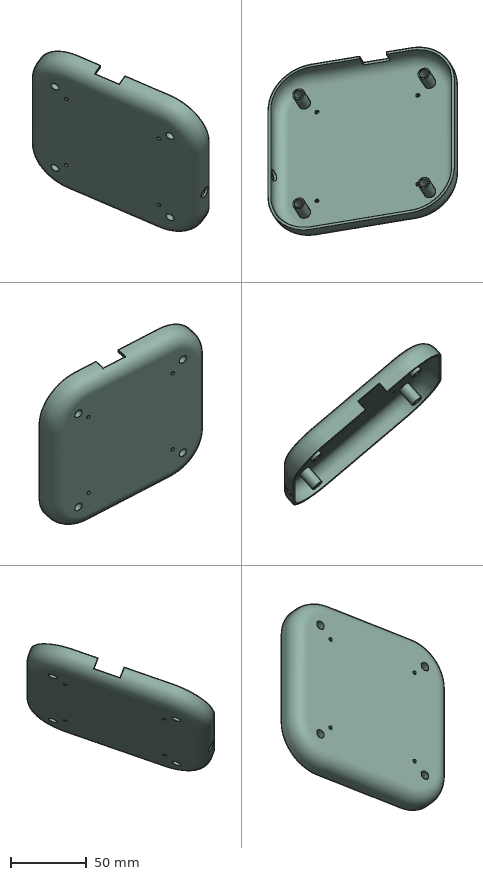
import cadquery as cq

WIDTH = 129.5
DEPTH = 15.0
HEIGHT = 126.4
CORNER_RADIUS = 30.0
EDGE_RADIUS = 10.0
WALL = 2.0

MOUNT_HOLE_DIAMETER = 6.0
MOUNT_BOSS_DIAMETER = 8.0
MOUNT_SPACING_X = 87.0
MOUNT_SPACING_Z = 83.7
PILOT_HOLE_DIAMETER = 2.5
PILOT_SPACING_X = 70.1
PILOT_SPACING_Z = 68.1

NOTCH_WIDTH = 18.5
NOTCH_DEPTH = 7.8
NOTCH_CENTER_X = -8.2

PORT_DIAMETER = 7.6
PORT_Y = 9.7
PORT_Z = -13.9

CUT_REACH = CORNER_RADIUS


def rounded_block(inset):
    """Block with rounded corners and -Y rim, inset from the outer skin and ending at the open side."""
    return (
        cq.Workplane("XZ", origin=(0, DEPTH, 0))
        .rect(WIDTH - 2 * inset, HEIGHT - 2 * inset)
        .extrude(DEPTH - inset)
        .edges("|Y")
        .fillet(CORNER_RADIUS - inset)
        .faces("<Y")
        .edges()
        .fillet(EDGE_RADIUS - inset)
    )


def pin_pattern(spacing_x, spacing_z, diameter):
    """Four pins along Y spanning the full depth of the tray."""
    return (
        cq.Workplane("XZ", origin=(0, DEPTH, 0))
        .rect(spacing_x, spacing_z, forConstruction=True)
        .vertices()
        .circle(diameter / 2)
        .extrude(DEPTH)
    )


def wall_notch():
    """Box that opens the +Z wall from the open side."""
    return cq.Workplane("XY").box(NOTCH_WIDTH, NOTCH_DEPTH, CUT_REACH).translate(
        (NOTCH_CENTER_X, DEPTH - NOTCH_DEPTH / 2, (HEIGHT - CUT_REACH) / 2)
    )


def wall_port():
    """Pin along X that opens the +X wall."""
    return (
        cq.Workplane("YZ", origin=(WIDTH / 2 - CUT_REACH, PORT_Y, PORT_Z))
        .circle(PORT_DIAMETER / 2)
        .extrude(CUT_REACH)
    )


tray = rounded_block(0).cut(rounded_block(WALL))
tray = tray.union(pin_pattern(MOUNT_SPACING_X, MOUNT_SPACING_Z, MOUNT_BOSS_DIAMETER))
tray = tray.cut(pin_pattern(MOUNT_SPACING_X, MOUNT_SPACING_Z, MOUNT_HOLE_DIAMETER))
tray = tray.cut(pin_pattern(PILOT_SPACING_X, PILOT_SPACING_Z, PILOT_HOLE_DIAMETER))
tray = tray.cut(wall_notch()).cut(wall_port())

result = tray.translate((0, -DEPTH / 2, 0))